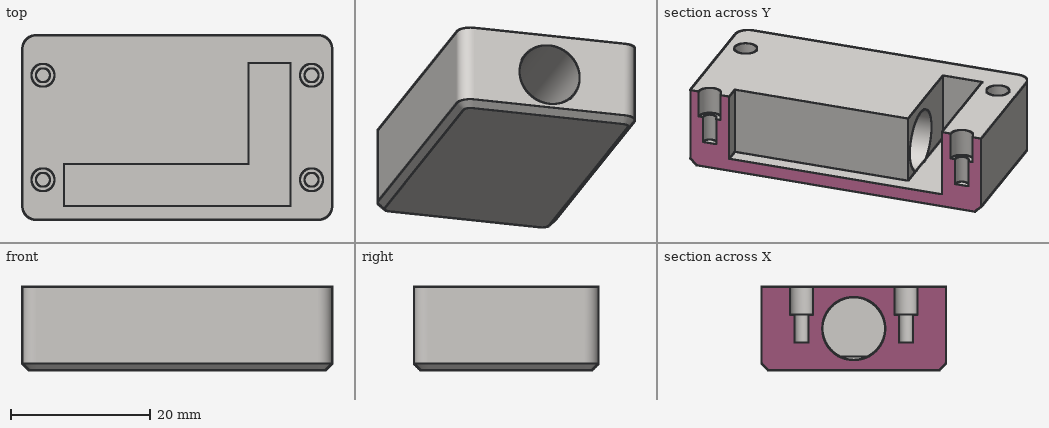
import cadquery as cq

length = 44.5
width = 26.5
height = 12.0
corner_radius = 2.0
bottom_chamfer = 1.0

end_wall = 6.0
front_wall = 2.0
back_wall = 4.0
channel_width = 6.0
floor_thickness = 2.0

bore_diameter = 9.0
bore_height = height / 2

screw_inset = 3.0
screw_pitch_y = 15.0
mouth_diameter = 3.3
mouth_depth = 4.0
pilot_diameter = 2.0
screw_depth = 8.0

pocket_left = -length / 2 + end_wall
pocket_right = length / 2 - end_wall
pocket_front = -width / 2 + front_wall
pocket_back = width / 2 - back_wall
short_arm_left = pocket_right - channel_width
long_arm_back = pocket_front + channel_width


def make_block():
    """Block with rounded upright corners and a chamfered bottom rim."""
    block = cq.Workplane("XY").box(length, width, height, centered=(True, True, False))
    block = block.edges("|Z").fillet(corner_radius)
    return block.faces("<Z").edges().chamfer(bottom_chamfer)


def make_pocket():
    """Solid that fills the L-shaped pocket."""
    outline = [
        (pocket_left, pocket_front),
        (pocket_right, pocket_front),
        (pocket_right, pocket_back),
        (short_arm_left, pocket_back),
        (short_arm_left, long_arm_back),
        (pocket_left, long_arm_back),
    ]
    floor = cq.Workplane("XY").workplane(offset=floor_thickness)
    return floor.polyline(outline).close().extrude(height - floor_thickness)


def make_bore():
    """Cylinder from the -X end to the near wall of the short pocket arm."""
    bore_length = short_arm_left + length / 2
    end_plane = cq.Workplane("YZ", origin=(-length / 2, 0, bore_height))
    return end_plane.circle(bore_diameter / 2).extrude(bore_length)


def cut_screw_holes(body):
    """Cut one stepped blind hole near each corner of the top face."""
    top = body.faces(">Z").workplane(origin=(0, 0, height))
    holes = top.rarray(length - 2 * screw_inset, screw_pitch_y, 2, 2)
    return holes.cboreHole(pilot_diameter, mouth_diameter, mouth_depth, screw_depth)


result = cut_screw_holes(make_block().cut(make_pocket()).cut(make_bore()))